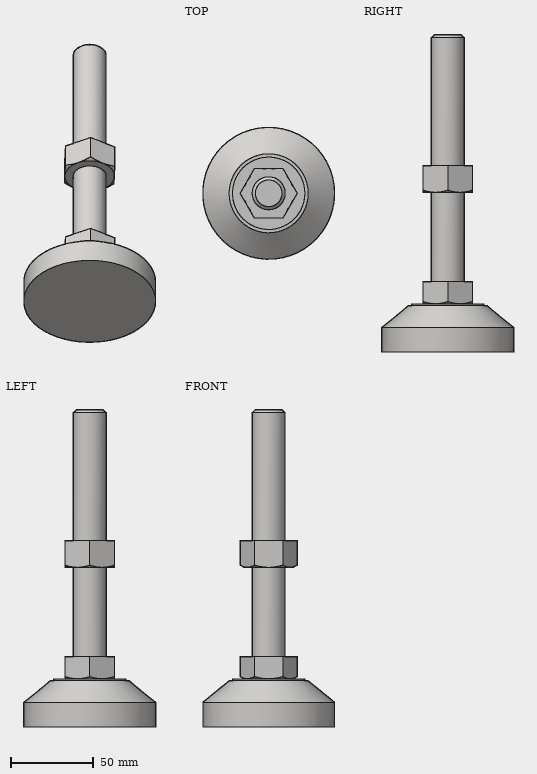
import cadquery as cq
import math

foot_diameter = 80.0
foot_rim_height = 15.0
foot_height = 28.1
foot_top_diameter = 48.0

total_height = 192.5
rod_diameter = 20.0
rod_tip_chamfer = 2.0
flange_diameter = 43.9
flange_thickness = 1.2
hex_across_flats = 30.0
hex_top = 42.7
nut_bottom = 96.8
nut_height = 16.2
hex_chamfer_angle = math.radians(30)

hex_across_corners = hex_across_flats / math.cos(math.pi / 6)
flange_top = foot_height + flange_thickness


def make_foot():
    """Revolve the outline of the foot about the Z axis."""
    rim_radius = foot_diameter / 2
    outline = [
        (0, 0),
        (rim_radius, 0),
        (rim_radius, foot_rim_height),
        (foot_top_diameter / 2, foot_height),
        (0, foot_height),
    ]
    return cq.Workplane("XZ").polyline(outline).close().revolve(360, (0, 0), (0, 1))


def make_hexagon(bottom, height):
    """Hexagon with corners on the X axis and its lower corners turned off at an angle."""
    prism = cq.Workplane("XY").workplane(offset=bottom).polygon(6, hex_across_corners).extrude(height)
    inner_radius = hex_across_flats / 2
    corner_radius = hex_across_corners / 2
    chamfer_height = (corner_radius - inner_radius) * math.tan(hex_chamfer_angle)
    turned_outline = [
        (0, bottom),
        (inner_radius, bottom),
        (corner_radius, bottom + chamfer_height),
        (corner_radius, bottom + height),
        (0, bottom + height),
    ]
    turned = cq.Workplane("XZ").polyline(turned_outline).close().revolve(360, (0, 0), (0, 1))
    return prism.intersect(turned)


def make_rod():
    """Rod standing on the flange, with a chamfered tip."""
    rod = (
        cq.Workplane("XY")
        .workplane(offset=flange_top)
        .circle(rod_diameter / 2)
        .extrude(total_height - flange_top)
    )
    return rod.faces(">Z").chamfer(rod_tip_chamfer)


def make_spindle():
    """One solid: flange resting on the foot, rod and both hexagons."""
    flange = (
        cq.Workplane("XY")
        .workplane(offset=foot_height)
        .circle(flange_diameter / 2)
        .extrude(flange_thickness)
    )
    fixed_hexagon = make_hexagon(flange_top, hex_top - flange_top)
    nut = make_hexagon(nut_bottom, nut_height)
    return flange.union(make_rod()).union(fixed_hexagon).union(nut)


foot = make_foot()
spindle = make_spindle()

result = cq.Compound.makeCompound([foot.val(), spindle.val()])